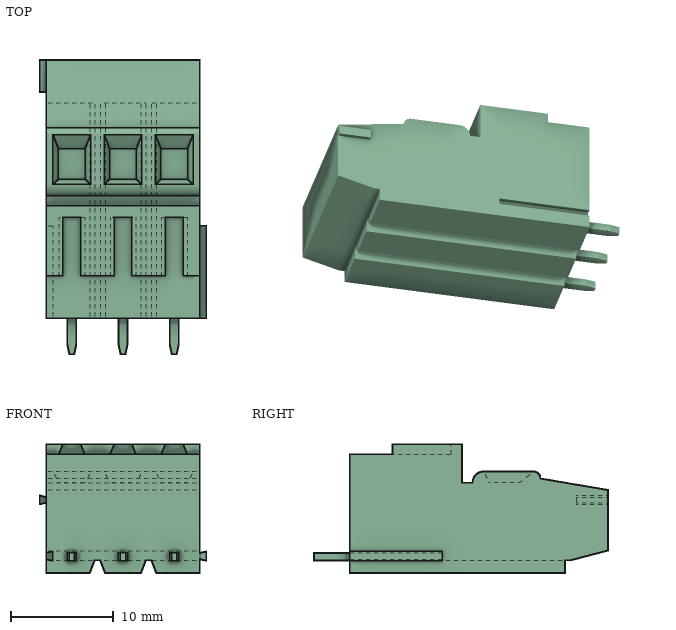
import cadquery as cq

POLES = 3
PITCH = 5.0
WIDTH = POLES * PITCH
HEIGHT = 12.6
TOTAL_LENGTH = 28.7
PIN_LENGTH = 3.5
LENGTH = TOTAL_LENGTH - PIN_LENGTH

STEP_DEPTH = 0.98
STEP_Z = HEIGHT - STEP_DEPTH
STEP_Y = 4.15
TOWER_BACK_Y = 10.95
TROUGH_Z = 8.85
TROUGH_LENGTH = 1.0
DECK_Z = 9.93
FRONT_ROUND = DECK_Z - TROUGH_Z
DECK_FRONT_Y = TOWER_BACK_Y + TROUGH_LENGTH + FRONT_ROUND
DECK_BACK_Y = 17.9
BACK_ROUND = 0.7
SLOPE_TOP_Z = DECK_Z - BACK_ROUND
NOSE_TOP_Z = 8.12
NOSE_BOTTOM_Z = 2.2
UNDERCUT_Z = 1.25
UNDERCUT_BACK_Y = 21.58
UNDERCUT_FRONT_Y = 21.0

FUNNEL_TOP_WIDTH = 3.67
FUNNEL_FLOOR_WIDTH = 2.6
FUNNEL_FLOOR_FRONT_Y = 13.58
FUNNEL_FLOOR_BACK_Y = 16.55
FUNNEL_DEPTH = 1.05

SLOT_TOP_WIDTH = 1.72
SLOT_FLOOR_WIDTH = 2.53
SLOT_BACK_Y = 9.85

CHANNEL_MOUTH_WIDTH = 1.5
CHANNEL_ROOF_WIDTH = 0.52

DOVETAIL_DEPTH = 0.63
LOWER_DOVETAIL_Z = 1.66
LOWER_DOVETAIL_LENGTH = 9.05
LOWER_ROOT_HEIGHT = 0.63
LOWER_OUTER_HEIGHT = 0.92
UPPER_DOVETAIL_Z = 7.15
UPPER_DOVETAIL_LENGTH = 3.13
UPPER_ROOT_HEIGHT = 0.55
UPPER_OUTER_HEIGHT = 0.9

PIN_WIDTH = 0.92
PIN_TIP_WIDTH = 0.5
PIN_THICKNESS = 0.75
PIN_BOTTOM_Z = 1.23
PIN_TAPER_LENGTH = 1.0

POLE_CENTRES = [(i - (POLES - 1) / 2) * PITCH for i in range(POLES)]


def extrude_along_y(points, start_y, end_y):
    """Prism with an (X, Z) outline running from start_y to end_y."""
    plane = cq.Plane(origin=(0, start_y, 0), xDir=(1, 0, 0), normal=(0, -1, 0))
    return cq.Workplane(plane).polyline(points).close().extrude(start_y - end_y)


def trapezoid(centre_x, bottom_z, bottom_width, top_z, top_width):
    return [
        (centre_x - bottom_width / 2, bottom_z),
        (centre_x + bottom_width / 2, bottom_z),
        (centre_x + top_width / 2, top_z),
        (centre_x - top_width / 2, top_z),
    ]


def housing():
    profile = (
        cq.Workplane("YZ", origin=(-WIDTH / 2, 0, 0))
        .moveTo(0, 0)
        .lineTo(0, STEP_Z)
        .lineTo(STEP_Y, STEP_Z)
        .lineTo(STEP_Y, HEIGHT)
        .lineTo(TOWER_BACK_Y, HEIGHT)
        .lineTo(TOWER_BACK_Y, TROUGH_Z)
        .lineTo(TOWER_BACK_Y + TROUGH_LENGTH, TROUGH_Z)
        .radiusArc((DECK_FRONT_Y, DECK_Z), FRONT_ROUND)
        .lineTo(DECK_BACK_Y, DECK_Z)
        .radiusArc((DECK_BACK_Y + BACK_ROUND, SLOPE_TOP_Z), BACK_ROUND)
        .lineTo(LENGTH, NOSE_TOP_Z)
        .lineTo(LENGTH, NOSE_BOTTOM_Z)
        .lineTo(UNDERCUT_BACK_Y, UNDERCUT_Z)
        .lineTo(UNDERCUT_FRONT_Y, UNDERCUT_Z)
        .lineTo(UNDERCUT_FRONT_Y, 0)
        .close()
    )
    return profile.extrude(WIDTH)


def funnel(centre_x):
    top_length = DECK_BACK_Y - DECK_FRONT_Y
    top_centre_y = (DECK_BACK_Y + DECK_FRONT_Y) / 2
    floor_length = FUNNEL_FLOOR_BACK_Y - FUNNEL_FLOOR_FRONT_Y
    floor_centre_y = (FUNNEL_FLOOR_BACK_Y + FUNNEL_FLOOR_FRONT_Y) / 2
    return (
        cq.Workplane("XY", origin=(centre_x, top_centre_y, DECK_Z))
        .rect(FUNNEL_TOP_WIDTH, top_length)
        .workplane(offset=-FUNNEL_DEPTH)
        .center(0, floor_centre_y - top_centre_y)
        .rect(FUNNEL_FLOOR_WIDTH, floor_length)
        .loft(ruled=True)
    )


def tower_slot(centre_x):
    outline = trapezoid(centre_x, STEP_Z, SLOT_FLOOR_WIDTH, HEIGHT, SLOT_TOP_WIDTH)
    return extrude_along_y(outline, STEP_Y, SLOT_BACK_Y)


def underside_channel(centre_x):
    outline = trapezoid(centre_x, 0, CHANNEL_MOUTH_WIDTH, UNDERCUT_Z, CHANNEL_ROOF_WIDTH)
    return extrude_along_y(outline, 0, LENGTH)


def side_dovetail(root_x, outer_x, centre_z, root_height, outer_height, start_y, end_y):
    outline = [
        (root_x, centre_z - root_height / 2),
        (outer_x, centre_z - outer_height / 2),
        (outer_x, centre_z + outer_height / 2),
        (root_x, centre_z + root_height / 2),
    ]
    return extrude_along_y(outline, start_y, end_y)


def lower_dovetail(side_x):
    """Dovetail widening toward +X from the side face at side_x."""
    return side_dovetail(
        side_x, side_x + DOVETAIL_DEPTH, LOWER_DOVETAIL_Z,
        LOWER_ROOT_HEIGHT, LOWER_OUTER_HEIGHT, 0, LOWER_DOVETAIL_LENGTH,
    )


def upper_rib():
    side_x = -WIDTH / 2
    return side_dovetail(
        side_x, side_x - DOVETAIL_DEPTH, UPPER_DOVETAIL_Z,
        UPPER_ROOT_HEIGHT, UPPER_OUTER_HEIGHT, LENGTH - UPPER_DOVETAIL_LENGTH, LENGTH,
    )


def pin(centre_x):
    taper_y = PIN_TAPER_LENGTH - PIN_LENGTH
    outline = [
        (-PIN_WIDTH / 2, 0),
        (-PIN_WIDTH / 2, taper_y),
        (-PIN_TIP_WIDTH / 2, -PIN_LENGTH),
        (PIN_TIP_WIDTH / 2, -PIN_LENGTH),
        (PIN_WIDTH / 2, taper_y),
        (PIN_WIDTH / 2, 0),
    ]
    plane = cq.Workplane("XY", origin=(centre_x, 0, PIN_BOTTOM_Z))
    return plane.polyline(outline).close().extrude(PIN_THICKNESS)


result = housing()

for x in POLE_CENTRES:
    result = result.cut(funnel(x)).cut(tower_slot(x)).union(pin(x))

for x in POLE_CENTRES[:-1]:
    result = result.cut(underside_channel(x + PITCH / 2))

result = result.cut(lower_dovetail(-WIDTH / 2)).union(lower_dovetail(WIDTH / 2))
result = result.union(upper_rib())